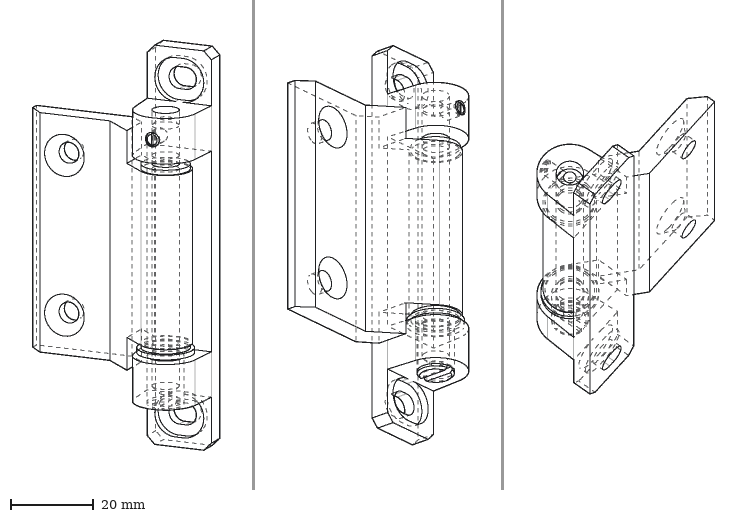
import cadquery as cq
import math


FRAME_HEIGHT = 100.0
FRAME_WIDTH = 17.0
BACK_Y = 13.0
PLATE_THICKNESS = 5.0
PLATE_FRONT_Y = BACK_Y - PLATE_THICKNESS
CORNER_CHAMFER = 2.0
BOSS_RADIUS = 8.0
BOSS_HEIGHT = 11.4
BOSS_INNER_Z = 25.1
BOSS_OUTER_Z = BOSS_INNER_Z + BOSS_HEIGHT
SLOT_Z = 42.0
SLOT_LENGTH = 7.2
SLOT_WIDTH = 5.5
RECESS_LENGTH = 13.0
RECESS_WIDTH = 11.0
RECESS_DEPTH = 2.0

LEAF_HEIGHT = 60.0
LEAF_LEFT_X = -40.0
LEAF_BACK_Y = 12.8
LEAF_FRONT_Y = 7.0
LEAF_EDGE_CHAMFER = 3.5
WEB_ANGLE = math.radians(41.0)
KNUCKLE_RADIUS = 6.5
KNUCKLE_HEIGHT = 43.6
NOTCH_X = -10.5
SCREW_HOLE_X = -30.0
SCREW_HOLE_Z = 20.0
SCREW_HOLE_DIAMETER = 5.2
COUNTERSINK_DIAMETER = 10.5
COUNTERSINK_ANGLE = 90.0

PIN_RADIUS = 3.3
PIN_TIP_RADIUS = 1.5
PIN_HALF_LENGTH = 34.4

BUSHING_RADIUS = 6.0
BUSHING_THICKNESS = 1.2
FLANGE_RADIUS = 7.0
FLANGE_THICKNESS = 1.2
KNUCKLE_END_Z = KNUCKLE_HEIGHT / 2
FLANGE_TOP_Z = -KNUCKLE_END_Z - BUSHING_THICKNESS
FLANGE_BOTTOM_Z = FLANGE_TOP_Z - FLANGE_THICKNESS

ADJUSTER_RADIUS = 4.5
ADJUSTER_LENGTH = 13.5
ADJUSTER_TOP_CHAMFER = 1.0
ADJUSTER_BOTTOM_CHAMFER = 0.6
ADJUSTER_SLOT_WIDTH = 2.0
ADJUSTER_SLOT_DEPTH = 1.5
ADJUSTER_BOTTOM_Z = FLANGE_BOTTOM_Z - ADJUSTER_LENGTH

SET_SCREW_RADIUS = 1.8
SET_SCREW_CHAMFER = 0.5
SET_SCREW_Z = 31.0
SET_SCREW_OUTER_Y = -7.9
SET_SCREW_SLOT_WIDTH = 0.4
SET_SCREW_SLOT_DEPTH = 0.8


def rod(radius, bottom_z, top_z):
    """Solid cylinder on the pin axis."""
    return cq.Workplane("XY", origin=(0, 0, bottom_z)).circle(radius).extrude(top_z - bottom_z)


def facing_front(x, y, z):
    """Workplane at the given point whose normal points to -Y."""
    return cq.Workplane("XZ", origin=(x, y, z))


def make_pin():
    """Straight pin with a conical tip at each end."""
    pin = rod(PIN_RADIUS, -PIN_HALF_LENGTH, PIN_HALF_LENGTH)
    return pin.faces(">Z or <Z").chamfer(PIN_RADIUS - PIN_TIP_RADIUS)


def make_boss(bottom_z):
    """D-shaped boss whose sides taper from the plate width to the round nose."""
    half_width = FRAME_WIDTH / 2
    corner_angle = math.atan2(PLATE_FRONT_Y, half_width)
    corner_distance = math.hypot(PLATE_FRONT_Y, half_width)
    tangent_angle = corner_angle - math.acos(BOSS_RADIUS / corner_distance)
    tangent_x = BOSS_RADIUS * math.cos(tangent_angle)
    tangent_y = BOSS_RADIUS * math.sin(tangent_angle)
    return (
        cq.Workplane("XY", origin=(0, 0, bottom_z))
        .moveTo(-half_width, PLATE_FRONT_Y)
        .lineTo(-tangent_x, tangent_y)
        .threePointArc((0, -BOSS_RADIUS), (tangent_x, tangent_y))
        .lineTo(half_width, PLATE_FRONT_Y)
        .close()
        .extrude(BOSS_HEIGHT)
    )


def make_frame():
    """Back plate with slotted ends and the upper and lower bosses."""
    plate = (
        facing_front(0, BACK_Y, 0)
        .rect(FRAME_WIDTH, FRAME_HEIGHT)
        .extrude(PLATE_THICKNESS)
        .edges("|Y")
        .chamfer(CORNER_CHAMFER)
    )
    frame = plate.union(make_boss(BOSS_INNER_Z)).union(make_boss(-BOSS_OUTER_Z))

    for z in (-SLOT_Z, SLOT_Z):
        slot = facing_front(0, BACK_Y, z).slot2D(SLOT_LENGTH, SLOT_WIDTH).extrude(PLATE_THICKNESS)
        recess_floor = facing_front(0, PLATE_FRONT_Y + RECESS_DEPTH, z)
        recess = recess_floor.slot2D(RECESS_LENGTH, RECESS_WIDTH).extrude(RECESS_DEPTH)
        frame = frame.cut(slot).cut(recess)

    frame = frame.cut(rod(PIN_RADIUS, BOSS_INNER_Z, BOSS_OUTER_Z))
    frame = frame.cut(rod(ADJUSTER_RADIUS, -BOSS_OUTER_Z, -BOSS_INNER_Z))
    set_screw_hole = facing_front(0, 0, SET_SCREW_Z).circle(SET_SCREW_RADIUS).extrude(BOSS_RADIUS)
    return frame.cut(set_screw_hole)


def make_leaf():
    """Bent leaf with a bored knuckle, two clearance notches and two countersunk holes."""
    tangent_x = -KNUCKLE_RADIUS * math.sin(WEB_ANGLE)
    tangent_y = -KNUCKLE_RADIUS * math.cos(WEB_ANGLE)
    back_bend_x = -LEAF_BACK_Y / math.tan(WEB_ANGLE)
    front_bend_x = tangent_x - (LEAF_FRONT_Y - tangent_y) / math.tan(WEB_ANGLE)
    profile = [
        (LEAF_LEFT_X, LEAF_BACK_Y),
        (back_bend_x, LEAF_BACK_Y),
        (0, 0),
        (tangent_x, tangent_y),
        (front_bend_x, LEAF_FRONT_Y),
        (LEAF_LEFT_X + LEAF_EDGE_CHAMFER, LEAF_FRONT_Y),
        (LEAF_LEFT_X, LEAF_FRONT_Y + LEAF_EDGE_CHAMFER),
    ]
    leaf = cq.Workplane("XY").polyline(profile).close().extrude(LEAF_HEIGHT / 2, both=True)

    notch_height = (LEAF_HEIGHT - KNUCKLE_HEIGHT) / 2
    for bottom_z in (-LEAF_HEIGHT / 2, KNUCKLE_END_Z):
        notch = cq.Workplane("XY").box(-NOTCH_X, 2 * BACK_Y, notch_height, centered=(False, True, False))
        leaf = leaf.cut(notch.translate((NOTCH_X, 0, bottom_z)))

    leaf = leaf.union(rod(KNUCKLE_RADIUS, -KNUCKLE_END_Z, KNUCKLE_END_Z))
    leaf = leaf.cut(rod(PIN_RADIUS, -KNUCKLE_END_Z, KNUCKLE_END_Z))
    return (
        facing_front(0, LEAF_FRONT_Y, 0)
        .add(leaf)
        .pushPoints([(SCREW_HOLE_X, -SCREW_HOLE_Z), (SCREW_HOLE_X, SCREW_HOLE_Z)])
        .cskHole(SCREW_HOLE_DIAMETER, COUNTERSINK_DIAMETER, COUNTERSINK_ANGLE)
    )


def make_upper_bushing(pin):
    """Plain ring on top of the knuckle."""
    return rod(BUSHING_RADIUS, KNUCKLE_END_Z, KNUCKLE_END_Z + BUSHING_THICKNESS).cut(pin)


def make_lower_bushing(pin):
    """Flanged ring under the knuckle that rests on the adjusting screw."""
    collar = rod(BUSHING_RADIUS, FLANGE_TOP_Z, -KNUCKLE_END_Z)
    flange = rod(FLANGE_RADIUS, FLANGE_BOTTOM_Z, FLANGE_TOP_Z)
    return collar.union(flange).cut(pin)


def make_adjuster(pin):
    """Slotted screw with a blind socket that fits the lower end of the pin."""
    screw = rod(ADJUSTER_RADIUS, ADJUSTER_BOTTOM_Z, FLANGE_BOTTOM_Z)
    screw = screw.faces(">Z").chamfer(ADJUSTER_TOP_CHAMFER)
    screw = screw.faces("<Z").chamfer(ADJUSTER_BOTTOM_CHAMFER)
    slot = (
        cq.Workplane("XY", origin=(0, 0, ADJUSTER_BOTTOM_Z))
        .rect(ADJUSTER_SLOT_WIDTH, 2 * ADJUSTER_RADIUS)
        .extrude(ADJUSTER_SLOT_DEPTH)
    )
    return screw.cut(slot).cut(pin)


def make_set_screw(pin):
    """Slotted grub screw that bears on the side of the pin."""
    screw = (
        facing_front(0, 0, SET_SCREW_Z)
        .circle(SET_SCREW_RADIUS)
        .extrude(-SET_SCREW_OUTER_Y)
        .faces("<Y")
        .chamfer(SET_SCREW_CHAMFER)
    )
    slot = (
        facing_front(0, SET_SCREW_OUTER_Y + SET_SCREW_SLOT_DEPTH, SET_SCREW_Z)
        .rect(SET_SCREW_SLOT_WIDTH, 2 * SET_SCREW_RADIUS)
        .extrude(SET_SCREW_SLOT_DEPTH)
    )
    return screw.cut(slot).cut(pin)


frame = make_frame()
leaf = make_leaf()
pin = make_pin()
upper_bushing = make_upper_bushing(pin)
lower_bushing = make_lower_bushing(pin)
adjuster = make_adjuster(pin)
set_screw = make_set_screw(pin)

bodies = [frame, leaf, pin, upper_bushing, lower_bushing, adjuster, set_screw]
result = cq.Compound.makeCompound([body.solids().val() for body in bodies])